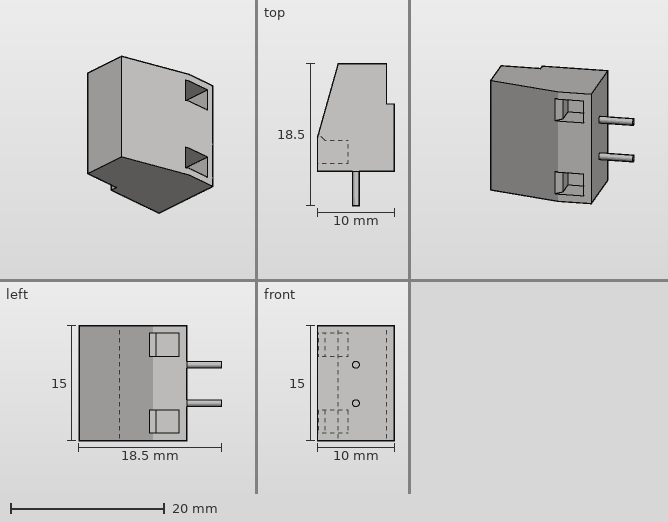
import cadquery as cq

housing_depth = 10.0
housing_height = 14.0
housing_length = 15.0

slope_start_height = 4.4
slope_setback = 2.7
step_height = 8.75
step_setback = 1.0

entry_size = 3.0
entry_margin = 1.0
entry_depth = 4.0
lead_in_size = 1.0

pin_diameter = 0.9
pin_length = 4.5
pin_pitch = 5.0
pin_x = housing_depth / 2
pin_row_shift = -0.1

mid_z = housing_length / 2
entry_top = entry_margin + entry_size
entry_bottoms = (entry_margin, housing_length - entry_margin - entry_size)


def make_wire_entry(bottom_z):
    """Cutter for one wire entry, open at the X = 0 side."""
    return (
        cq.Workplane("XY", origin=(0, 0, bottom_z))
        .moveTo(0, entry_margin)
        .lineTo(entry_depth, entry_margin)
        .lineTo(entry_depth, entry_top)
        .lineTo(lead_in_size, entry_top)
        .lineTo(0, entry_top + lead_in_size)
        .close()
        .extrude(entry_size)
    )


def make_housing():
    """Profile with a slope and a step, extruded along Z, with its wire entries."""
    body = (
        cq.Workplane("XY")
        .moveTo(0, 0)
        .lineTo(housing_depth, 0)
        .lineTo(housing_depth, step_height)
        .lineTo(housing_depth - step_setback, step_height)
        .lineTo(housing_depth - step_setback, housing_height)
        .lineTo(slope_setback, housing_height)
        .lineTo(0, slope_start_height)
        .close()
        .extrude(housing_length)
    )
    for bottom_z in entry_bottoms:
        body = body.cut(make_wire_entry(bottom_z))
    return body


def make_pin(center_z):
    """Round pin standing on the Y = 0 face and pointing toward -Y."""
    base = cq.Plane(origin=(pin_x, 0, center_z), xDir=(-1, 0, 0), normal=(0, -1, 0))
    return cq.Workplane(base).circle(pin_diameter / 2).extrude(pin_length)


housing = make_housing()
pins = [make_pin(mid_z + pin_row_shift + side * pin_pitch / 2) for side in (-1, 1)]

result = cq.Compound.makeCompound([housing.val(), *[pin.val() for pin in pins]])